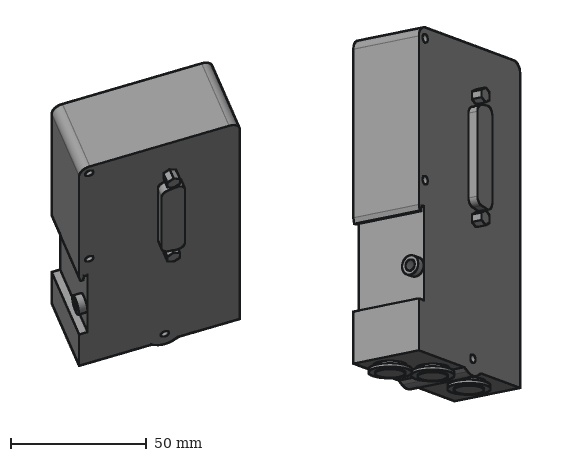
import cadquery as cq
import math

total_height = 127.9
body_width = 30.0
body_depth = 63.0
body_floor = 3.2
top_radius = 4.2

recess_depth = 3.3
recess_bottom = 23.2
recess_top = 59.2
lip_root = 1.9
lip_inner_tip = 1.7
lip_outer_tip = 0.5
lip_shoulder = 59.1
lip_bottom = 56.9

screw_hole_diameter = 3.2
front_hole_y = 4.0
front_hole_heights = (total_height - top_radius, 69.3)
lug_y = 33.5
lug_z = 7.7
lug_radius = 6.5
lug_flank_angle = 30.0

boss_x = 26.1
boss_z = 36.6
boss_diameter = 7.4
bore_diameter = 4.2

connector_y = 35.4
connector_z = 85.0
shell_projection = 4.1
shell_length = 40.9
shell_thickness = 9.2
shell_slant = 10.0
shell_corner_radius = 3.1
post_projection = 4.5
post_pitch = 47.1
post_across_corners = 5.8

gland_centers = ((9.7, 9.7), (20.0, 22.3), (20.0, 44.8))
neck_diameter = 12.2
flange_diameter = 16.0
end_face_diameter = 11.3
flange_bottom = 0.4
flange_top = 1.7


def cylinder_along_x(diameter, y, z):
    return (
        cq.Workplane("YZ")
        .center(y, z)
        .circle(diameter / 2)
        .extrude(body_width)
    )


def cylinder_along_y(diameter, x, z, length):
    return (
        cq.Workplane("XZ")
        .center(x, z)
        .circle(diameter / 2)
        .extrude(-length)
    )


def make_body():
    """Side profile with the front recess, extruded across the width and rounded on top."""
    profile = [
        (0, body_floor),
        (0, recess_bottom),
        (recess_depth, recess_bottom),
        (recess_depth, recess_top),
        (lip_root, recess_top),
        (lip_inner_tip, lip_bottom),
        (lip_outer_tip, lip_bottom),
        (0, lip_shoulder),
        (0, total_height),
        (body_depth, total_height),
        (body_depth, body_floor),
    ]
    block = cq.Workplane("YZ").polyline(profile).close().extrude(body_width)
    return block.edges("|X and >Z").fillet(top_radius)


def make_lug():
    """Round lug around the lower hole, running into the floor along tangent flanks."""
    angle = math.radians(lug_flank_angle)
    floor_depth = lug_z - body_floor
    base_half = (lug_radius - floor_depth * math.cos(angle)) / math.sin(angle)
    tangent_half = lug_radius * math.sin(angle)
    tangent_z = lug_z - lug_radius * math.cos(angle)
    flanks = [
        (lug_y - base_half, body_floor),
        (lug_y - tangent_half, tangent_z),
        (lug_y + tangent_half, tangent_z),
        (lug_y + base_half, body_floor),
    ]
    web = cq.Workplane("YZ").polyline(flanks).close().extrude(body_width)
    return web.union(cylinder_along_x(2 * lug_radius, lug_y, lug_z))


def make_connector():
    """Connector shell, narrower along its front edge, and the two jack posts."""
    half_thickness = shell_thickness / 2
    slant_run = shell_thickness * math.tan(math.radians(shell_slant))
    back_half = shell_length / 2
    front_half = back_half - slant_run
    outline = [
        (-half_thickness, -front_half),
        (half_thickness, -back_half),
        (half_thickness, back_half),
        (-half_thickness, front_half),
    ]
    right_face = cq.Workplane("YZ", origin=(body_width, connector_y, connector_z))
    shell = right_face.polyline(outline).close().extrude(shell_projection)
    shell = shell.edges("|X").fillet(shell_corner_radius)
    posts = (
        right_face.transformed(rotate=(0, 0, 90))
        .pushPoints([(-post_pitch / 2, 0), (post_pitch / 2, 0)])
        .polygon(6, post_across_corners)
        .extrude(post_projection)
    )
    return shell.union(posts)


def make_gland(x, y):
    """End face, flange and neck stacked upward from the lowest point to the floor."""
    stack = (
        (end_face_diameter, 0, flange_bottom),
        (flange_diameter, flange_bottom, flange_top),
        (neck_diameter, flange_top, body_floor),
    )
    gland = cq.Workplane("XY")
    for diameter, bottom, top in stack:
        disc = (
            cq.Workplane("XY", origin=(x, y, bottom))
            .circle(diameter / 2)
            .extrude(top - bottom)
        )
        gland = gland.union(disc)
    return gland


result = make_body()
result = result.union(make_lug())
result = result.union(cylinder_along_y(boss_diameter, boss_x, boss_z, recess_depth))
result = result.union(make_connector())
for gland_x, gland_y in gland_centers:
    result = result.union(make_gland(gland_x, gland_y))

for hole_z in front_hole_heights:
    result = result.cut(cylinder_along_x(screw_hole_diameter, front_hole_y, hole_z))
result = result.cut(cylinder_along_x(screw_hole_diameter, lug_y, lug_z))
result = result.cut(cylinder_along_y(bore_diameter, boss_x, boss_z, body_depth))